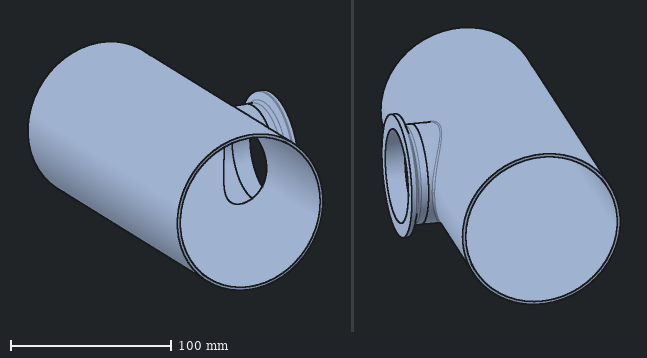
import cadquery as cq
import math

pipe_length = 209.5
pipe_radius = 101.7 / 2
wall = 2.0

branch_radius = 31.6
branch_bore_radius = branch_radius - wall
weld_fillet = 1.3

overall_depth = 117.5
face_y = overall_depth - pipe_radius
ferrule_length = 12.5
joint_y = face_y - ferrule_length
flange_radius = 38.8
rim_straight = 3.0
rim_round = 0.6
clamp_angle = 20.0
neck_fillet = 2.5


def branch_cylinder(radius, end_y):
    """Cylinder on the Y axis from the pipe axis out to end_y."""
    return cq.Workplane("XZ").circle(radius).extrude(-end_y)


def pipe_cylinder(radius):
    """Cylinder on the X axis over the whole pipe length."""
    return cq.Workplane("YZ").circle(radius).extrude(pipe_length / 2, both=True)


def make_tee():
    """Pipe with a short, thin-walled branch filleted into its side."""
    outside = pipe_cylinder(pipe_radius).union(branch_cylinder(branch_radius, joint_y))
    junction = cq.selectors.BoxSelector(
        (-branch_radius, wall, -branch_radius),
        (branch_radius, joint_y - wall / 2, branch_radius),
    )
    outside = outside.edges(junction).fillet(weld_fillet)
    return outside.cut(pipe_cylinder(pipe_radius - wall)).cut(
        branch_cylinder(branch_bore_radius, joint_y)
    )


def make_ferrule():
    """Revolved ring: flat face, rounded rim, sloped back and filleted neck."""
    slope = math.radians(clamp_angle)
    rim_y = face_y - rim_straight
    slope_radius = flange_radius - rim_round * (1 - math.sin(slope))
    slope_y = rim_y - rim_round * math.cos(slope)
    half_turn = (math.pi / 2 - slope) / 2
    rim_mid_point = (
        flange_radius - rim_round * (1 - math.cos(half_turn)),
        rim_y - rim_round * math.sin(half_turn),
    )
    neck_center_radius = branch_radius + neck_fillet
    arc_radius = neck_center_radius - neck_fillet * math.sin(slope)
    arc_y = slope_y - (slope_radius - arc_radius) * math.tan(slope)
    neck_center_y = arc_y - neck_fillet * math.cos(slope)
    neck_mid_point = (
        neck_center_radius - neck_fillet * math.cos(half_turn),
        neck_center_y + neck_fillet * math.sin(half_turn),
    )
    return (
        cq.Workplane("XY")
        .moveTo(branch_bore_radius, joint_y)
        .lineTo(branch_bore_radius, face_y)
        .lineTo(flange_radius, face_y)
        .lineTo(flange_radius, rim_y)
        .threePointArc(rim_mid_point, (slope_radius, slope_y))
        .lineTo(arc_radius, arc_y)
        .threePointArc(neck_mid_point, (branch_radius, neck_center_y))
        .lineTo(branch_radius, joint_y)
        .close()
        .revolve(360, (0, 0, 0), (0, 1, 0))
    )


tee = make_tee()
ferrule = make_ferrule()
result = cq.Compound.makeCompound([tee.val(), ferrule.val()])